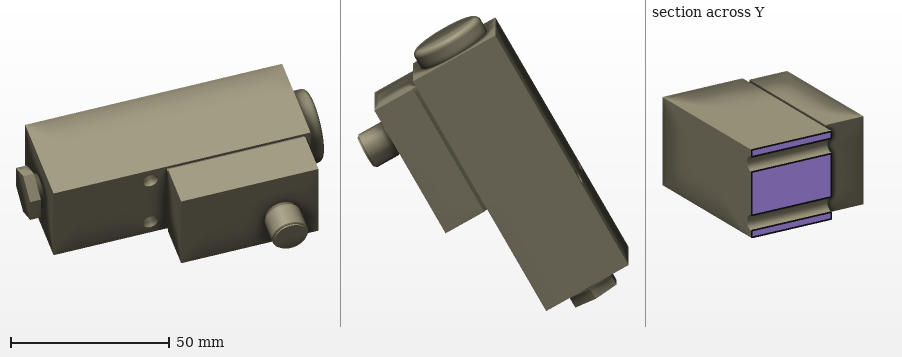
import cadquery as cq
import math

body_width = 30.0
body_front = 5.4
body_back = 90.6
body_centre = body_width / 2

overall_length = 96.5
cap_diameter = 24.0
cap_round = 1.8

hex_flats = 15.0
hex_thickness = 3.6
hex_neck_diameter = 11.0

box_front = 42.9
box_back = 88.5
box_outer_x = 45.3
web_width = 1.2
web_inset = 1.0

connector_y = 76.1
connector_z = 12.5
connector_tip_x = 55.4
connector_diameter = 12.0
connector_neck_diameter = 10.8
connector_neck_length = 1.2
connector_tip_length = 0.5
connector_chamfer = 0.3

hole_diameter = 5.0
hole_mouth_diameter = 5.2
hole_spacing = 20.0
hole_y = 37.5


def block(x_range, y_range, z_range):
    """Rectangular block between the given limits."""
    size = [high - low for low, high in (x_range, y_range, z_range)]
    corner = (x_range[0], y_range[0], z_range[0])
    return cq.Workplane("XY").box(*size, centered=False).translate(corner)


def section_at(y):
    """Workplane on the bar axis at the given Y, facing +Y."""
    return cq.Workplane("XZ", origin=(body_centre, y, body_centre)).transformed(rotate=(0, 180, 0))


def end_cap():
    cap = section_at(body_back).circle(cap_diameter / 2).extrude(overall_length - body_back)
    return cap.faces(">Y").edges().fillet(cap_round)


def hex_head():
    hex_corners = hex_flats / math.cos(math.pi / 6)
    head = section_at(0).transformed(rotate=(0, 0, 90)).polygon(6, hex_corners).extrude(hex_thickness)
    neck = section_at(hex_thickness).circle(hex_neck_diameter / 2).extrude(body_front - hex_thickness)
    return head.union(neck)


def side_box():
    y_range = (box_front, box_back)
    box_inner_x = body_width + web_width
    web = block((body_width, box_inner_x), y_range, (web_inset, body_width - web_inset))
    box = block((box_inner_x, box_outer_x), y_range, (0, body_width))
    return web.union(box)


def connector():
    barrel_start = box_outer_x + connector_neck_length
    barrel_end = connector_tip_x - connector_tip_length

    def disc(start, end, diameter):
        plane = cq.Workplane("YZ", origin=(start, connector_y, connector_z))
        return plane.circle(diameter / 2).extrude(end - start)

    neck = disc(box_outer_x, barrel_start, connector_neck_diameter)
    barrel = disc(barrel_start, barrel_end, connector_diameter)
    barrel = barrel.faces("<X or >X").edges().chamfer(connector_chamfer)
    tip = disc(barrel_end, connector_tip_x, connector_neck_diameter)
    return neck.union(barrel).union(tip)


def mounting_holes():
    bore_radius = hole_diameter / 2
    mouth_radius = hole_mouth_diameter / 2
    bevel = mouth_radius - bore_radius
    profile = [
        (0, 0),
        (0, mouth_radius),
        (bevel, bore_radius),
        (body_width - bevel, bore_radius),
        (body_width, mouth_radius),
        (body_width, 0),
    ]
    hole = cq.Workplane("XY").polyline(profile).close().revolve(360, (0, 0, 0), (1, 0, 0))
    lower = hole.translate((0, hole_y, body_centre - hole_spacing / 2))
    return lower.union(lower.translate((0, 0, hole_spacing)))


body = block((0, body_width), (body_front, body_back), (0, body_width))
body = body.cut(mounting_holes())
result = body.union(end_cap()).union(hex_head()).union(side_box()).union(connector())